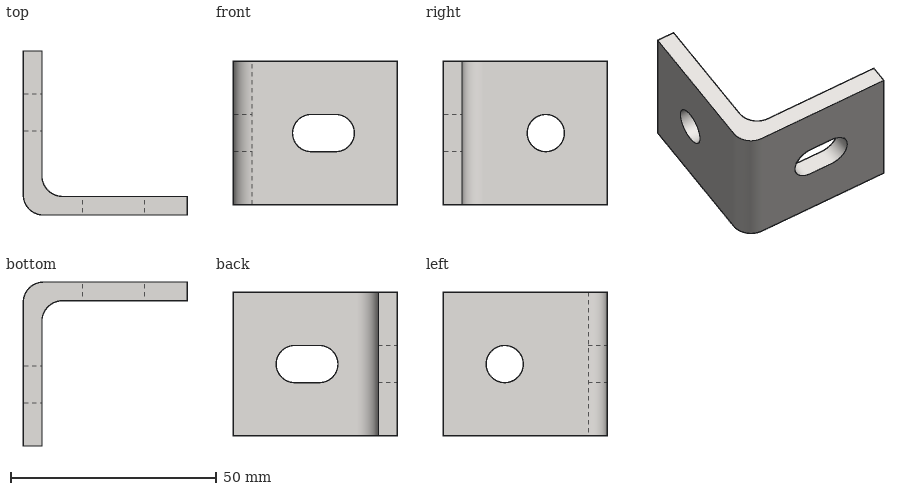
import cadquery as cq

leg_length = 40.0
height = 35.0
thickness = 4.6

outer_radius = 5.0
inner_radius = 5.0

opening_width = 9.0
slot_length = 15.0
slot_distance = 22.0
hole_distance = 25.0
mid_height = height / 2


def bent_plate():
    """L-shaped plate with a rounded bend along Z at the origin corner."""
    profile = [
        (0, 0),
        (leg_length, 0),
        (leg_length, thickness),
        (thickness, thickness),
        (thickness, leg_length),
        (0, leg_length),
    ]
    plate = cq.Workplane("XY").polyline(profile).close().extrude(height)
    outer_corner = cq.selectors.NearestToPointSelector((0, 0, mid_height))
    inner_corner = cq.selectors.NearestToPointSelector((thickness, thickness, mid_height))
    plate = plate.edges("|Z").edges(inner_corner).fillet(inner_radius)
    return plate.edges("|Z").edges(outer_corner).fillet(outer_radius)


def slot_cutter():
    """Slot through the leg that runs along X."""
    return (
        cq.Workplane("XZ")
        .center(slot_distance, mid_height)
        .slot2D(slot_length, opening_width)
        .extrude(-thickness)
    )


def hole_cutter():
    """Round hole through the leg that runs along Y."""
    return (
        cq.Workplane("YZ")
        .center(hole_distance, mid_height)
        .circle(opening_width / 2)
        .extrude(thickness)
    )


result = bent_plate().cut(slot_cutter()).cut(hole_cutter())